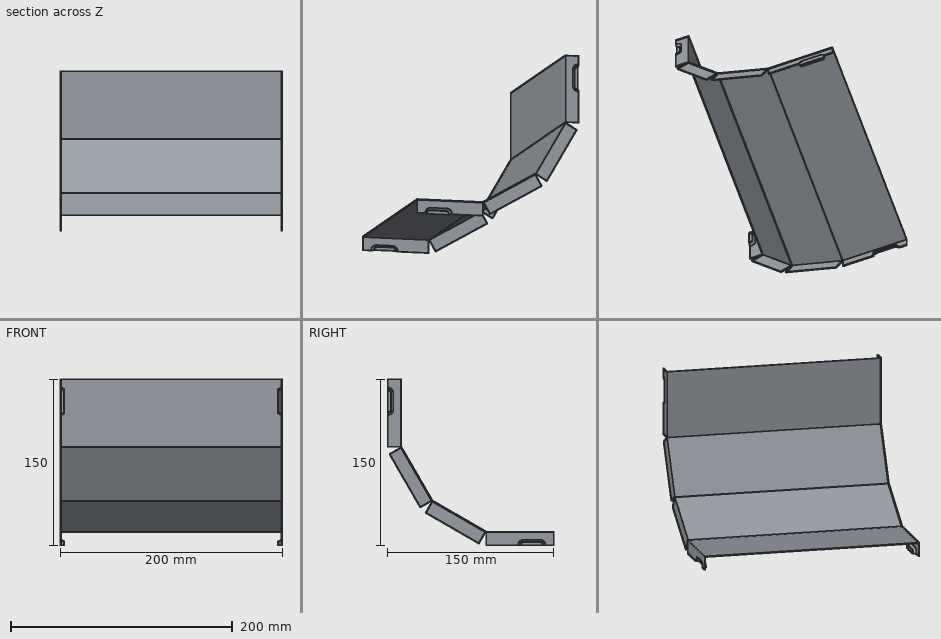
import cadquery as cq
import math

width = 200.0
height = 150.0
sheet = 0.8
flange_depth = 12.5
end_length = 61.2
bend_angle = 30.0
flange_gap = 0.2
edge_radius = 0.5

recess_straight = 14.5
recess_radius = 4.8
floor_radius = 3.0
recess_depth = 3.0
mouth_radius = 0.8
recess_from_end = 20.0

bend = math.radians(bend_angle)
slope_length = (height - flange_depth - end_length) / (math.sin(bend) + math.cos(bend))
panel_lengths = [end_length, slope_length, slope_length, end_length]
directions = [(math.sin(i * bend), -math.cos(i * bend)) for i in range(len(panel_lengths))]
normals = [(dz, -dy) for dy, dz in directions]
left = -width / 2
tolerance = 0.2


def shifted(point, direction, distance):
    return (point[0] + distance * direction[0], point[1] + distance * direction[1])


corners = [(flange_depth, height)]
for panel_direction, length in zip(directions, panel_lengths):
    corners.append(shifted(corners[-1], panel_direction, length))


def outer_corners():
    """Corners of the outer sheet face, mitred at the bends."""
    points = [shifted(corners[0], normals[0], sheet)]
    for corner, before, after in zip(corners[1:-1], normals, normals[1:]):
        mitre = (before[0] + after[0], before[1] + after[1])
        points.append(shifted(corner, mitre, sheet / (1 + math.cos(bend))))
    points.append(shifted(corners[-1], normals[-1], sheet))
    return points


def prism(points, thickness):
    """Solid with a Y-Z outline, starting at the left side of the part."""
    return cq.Workplane("YZ", origin=(left, 0, 0)).polyline(points).close().extrude(thickness)


def flange(index):
    """Left flange of one panel, square to its ends and clear of the bends."""
    last = len(panel_lengths) - 1
    direction = directions[index]
    normal = normals[index]
    start = shifted(corners[index], direction, flange_gap if index > 0 else 0)
    end = shifted(corners[index + 1], direction, -flange_gap if index < last else 0)
    outline = [start, end, shifted(end, normal, flange_depth), shifted(start, normal, flange_depth)]
    return prism(outline, sheet)


def tapered_slot(center, turn, radius, depth):
    """Slot narrowing inwards from the outer face of the left flange."""
    return (
        cq.Workplane("YZ", origin=(left, *center))
        .slot2D(recess_straight + 2 * radius, 2 * radius, turn)
        .extrude(depth, taper=math.degrees(recess_taper))
    )


def mouth_edges(center, turn, side):
    """Selector for the edges around a recess mouth, inside the larger shell outline."""
    half_sizes = [recess_straight / 2 + recess_radius, recess_radius]
    if turn == 90:
        half_sizes.reverse()
    low = [value - half - tolerance for value, half in zip(center, half_sizes)]
    high = [value + half + tolerance for value, half in zip(center, half_sizes)]
    return cq.selectors.BoxSelector(
        (side - tolerance, *low), (side + tolerance, *high), boundingbox=True
    )


def rounded(solid):
    """Round the long hollow-side edges where each panel folds into its flanges."""
    edges = []
    for side in (left, -left):
        for start, end in zip(corners, corners[1:]):
            middle = (side, (start[0] + end[0]) / 2, (start[1] + end[1]) / 2)
            box = cq.selectors.BoxSelector(
                [value - tolerance for value in middle],
                [value + tolerance for value in middle],
            )
            edges += solid.edges(box).vals()
    return solid.newObject(edges).fillet(edge_radius)


left_flanges = flange(0)
for panel_index in range(1, len(panel_lengths)):
    left_flanges = left_flanges.union(flange(panel_index))
body = prism(corners + outer_corners()[::-1], width)
body = body.union(left_flanges).union(left_flanges.mirror("YZ"))
body = rounded(body)

recess_taper = math.atan((recess_radius - floor_radius) / recess_depth)
shell_radius = recess_radius + sheet / math.cos(recess_taper)
recess_center = height - recess_from_end
for place, turn in (((0, recess_center), 90), ((recess_center, 0), 0)):
    shell = tapered_slot(place, turn, shell_radius, recess_depth + sheet)
    recess = tapered_slot(place, turn, recess_radius, recess_depth)
    body = body.union(shell).union(shell.mirror("YZ"))
    body = body.cut(recess).cut(recess.mirror("YZ"))
    for side in (left, -left):
        body = body.edges(mouth_edges(place, turn, side)).fillet(mouth_radius)

envelope = cq.Workplane("XY").box(width, height, height, centered=(True, False, False))
result = body.intersect(envelope)